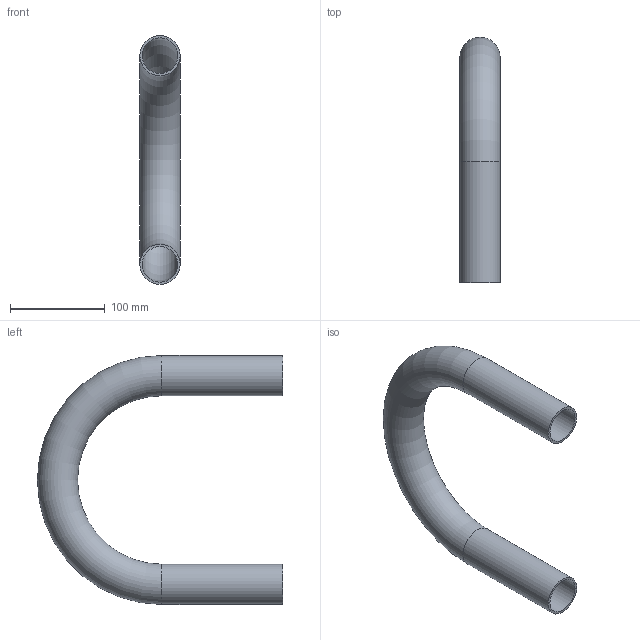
import cadquery as cq

outer_diameter = 42.4
wall_thickness = 2.5
inner_diameter = outer_diameter - 2 * wall_thickness

bend_radius = 110.0
overall_length = 258.4
leg_length = overall_length - bend_radius - outer_diameter / 2


def centreline():
    """Lower leg, half-circle bend bulging toward +Y, and upper leg."""
    return (
        cq.Workplane("YZ")
        .moveTo(-leg_length, -bend_radius)
        .lineTo(0, -bend_radius)
        .threePointArc((bend_radius, 0), (0, bend_radius))
        .lineTo(-leg_length, bend_radius)
    )


def bent_tube():
    """Ring-shaped section at the lower open end, swept along the centreline."""
    lower_end = cq.Workplane("XZ", origin=(0, -leg_length, -bend_radius))
    ring = lower_end.circle(outer_diameter / 2).circle(inner_diameter / 2)
    return ring.sweep(centreline())


result = bent_tube()